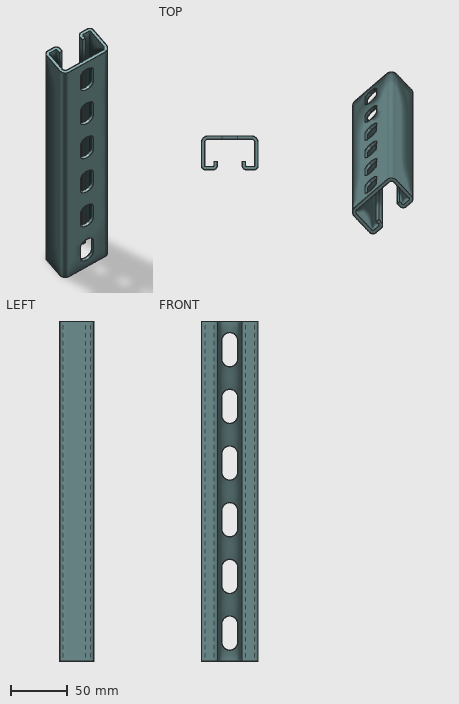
import cadquery as cq

length = 300.0
width = 50.0
depth = 30.0
wall = 3.0
mouth_width = 22.0
lip_height = 7.5
back_bend_radius = 6.0
front_bend_radius = 4.0

slot_count = 6
slot_width = 13.8
slot_length = 30.0
slot_pitch = length / slot_count


def upright_block(size_x, size_y, center_x, center_y):
    """Full-length block centred at the given X and Y."""
    return (
        cq.Workplane("XY")
        .center(center_x, center_y)
        .rect(size_x, size_y)
        .extrude(length)
    )


def rounded_block(size_x, size_y, back_radius, front_radius):
    """Full-length block with separate corner radii at the back and front."""
    block = upright_block(size_x, size_y, 0, 0)
    block = block.faces(">Y").edges("|Z").fillet(back_radius)
    return block.faces("<Y").edges("|Z").fillet(front_radius)


def make_tube():
    """Closed rectangular tube with bends of constant wall thickness."""
    outside = rounded_block(width, depth, back_bend_radius, front_bend_radius)
    inside = rounded_block(
        width - 2 * wall,
        depth - 2 * wall,
        back_bend_radius - wall,
        front_bend_radius - wall,
    )
    return outside.cut(inside)


def make_lip(side):
    """Flange end turned back into the channel; side is -1 or +1 in X."""
    center_x = side * (mouth_width + wall) / 2
    center_y = (lip_height - depth) / 2
    return upright_block(wall, lip_height, center_x, center_y)


def make_channel():
    """Tube opened along its front, with a lip on each side of the mouth."""
    mouth = upright_block(mouth_width, wall, 0, (wall - depth) / 2)
    channel = make_tube().cut(mouth)
    for side in (-1, 1):
        channel = channel.union(make_lip(side))
    return channel


def round_lip_bends(channel):
    """Round the outer and inner bend of both lips."""
    front_y = -depth / 2
    half_mouth = mouth_width / 2
    bends = (
        (half_mouth, front_y, front_bend_radius),
        (half_mouth + wall, front_y + wall, front_bend_radius - wall),
    )
    for x, y, radius in bends:
        for side in (-1, 1):
            bend = cq.selectors.NearestToPointSelector((side * x, y, length / 2))
            channel = channel.edges(bend).fillet(radius)
    return channel


def make_slots():
    """Row of upright slots, evenly spaced through the back wall."""
    slot_centers = [(0, (i + 0.5) * slot_pitch) for i in range(slot_count)]
    return (
        cq.Workplane("XZ")
        .pushPoints(slot_centers)
        .slot2D(slot_length, slot_width, 90)
        .extrude(-depth)
    )


result = round_lip_bends(make_channel()).cut(make_slots())